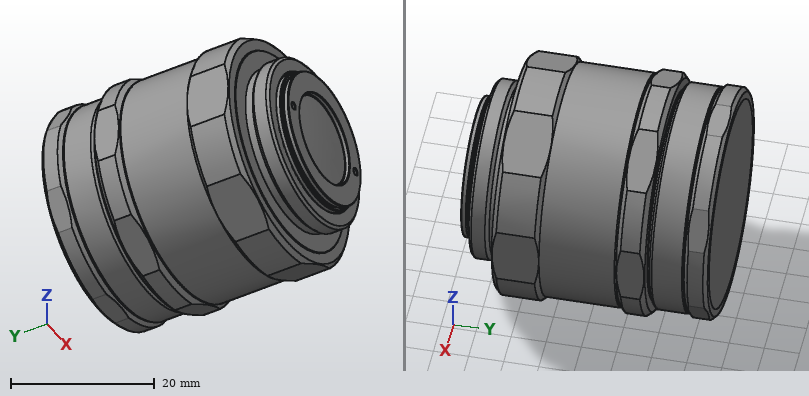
import cadquery as cq
import math


TIP_Y = 0.0
RETAINER_BACK_Y = 0.87
CELL_FLANGE_Y = 1.05
THREAD_FRONT_Y = 1.65
CELL_SEAT_Y = 2.9
THREAD_BACK_Y = 4.5
BARREL_FACE_Y = 5.65
FOCUS_FRONT_Y = 5.75
FOCUS_HEX_BACK_Y = 12.5
LOCK_NUT_FRONT_Y = 23.45
LOCK_NUT_BACK_Y = 27.55
BARREL_BACK_Y = 27.65
COLLAR_FRONT_Y = 28.05
COLLAR_BACK_Y = 32.9
REAR_NUT_FRONT_Y = 33.0
REAR_Y = 36.35

LENS_R = 6.6
WINDOW_R = 6.85
RETAINER_R = 10.0
CELL_R = 10.3
UNDERCUT_R = 12.18
THREAD_R = 12.7
REAR_TUBE_R = 14.83
BARREL_R = 14.95
COLLAR_R = 16.03
REAR_NUT_R = 16.43
FOCUS_R = 16.58
HEX_R = 17.2

HEX_ACROSS_FLATS = 33.2
HEX_FIRST_ANGLE = 0.0
REAR_NUT_ACROSS_FLATS = 32.28
REAR_NUT_FIRST_ANGLE = 30.0
FLAT_COUNT = 6

HEX_CHAMFER = 0.7
FOCUS_END_CHAMFER = 0.2
REAR_NUT_CHAMFER = 0.55
COLLAR_FRONT_CHAMFER = 0.35
COLLAR_BACK_CHAMFER = 0.18
THREAD_FRONT_CHAMFER = 0.4
THREAD_BACK_CHAMFER = THREAD_R - UNDERCUT_R
BARREL_FACE_CHAMFER = 0.1
CELL_SEAT_CHAMFER = 0.2
CELL_CHAMFER = 0.15
RETAINER_FRONT_CHAMFER = 0.127
RETAINER_BACK_CHAMFER = 0.18
WINDOW_CHAMFER = 0.1
SPANNER_HOLE_CHAMFER = 0.1

LENS_RIM_Y = 0.65
LENS_DOME_HEIGHT = 0.18
SPANNER_HOLE_X = 8.47
SPANNER_HOLE_R = 0.47


def turned(points):
    """Solid of revolution about Y from a closed (radius, y) outline."""
    return cq.Workplane("XY").polyline(points).close().revolve(360, (0, 0, 0), (0, 1, 0))


def ring(outer_r, bore_r, y_front, y_back, front_chamfer=0.0, back_chamfer=0.0):
    """Plain ring whose outer edges carry 45 degree chamfers where a size is given."""
    front_edge = [(outer_r, y_front)]
    if front_chamfer:
        front_edge = [(outer_r - front_chamfer, y_front), (outer_r, y_front + front_chamfer)]
    back_edge = [(outer_r, y_back)]
    if back_chamfer:
        back_edge = [(outer_r, y_back - back_chamfer), (outer_r - back_chamfer, y_back)]
    return turned([(bore_r, y_front), *front_edge, *back_edge, (bore_r, y_back)])


def hex_prism(across_flats, first_angle, y_front, y_back):
    """Hexagonal prism along Y whose first flat faces first_angle, measured from +X toward +Z."""
    corner_r = across_flats / 2 / math.cos(math.pi / FLAT_COUNT)
    corner_angles = [
        math.radians(first_angle + (i + 0.5) * 360 / FLAT_COUNT) for i in range(FLAT_COUNT)
    ]
    corners = [(corner_r * math.cos(a), corner_r * math.sin(a)) for a in corner_angles]
    return (
        cq.Workplane("XZ", origin=(0, y_front, 0))
        .polyline(corners)
        .close()
        .extrude(y_front - y_back)
    )


def make_barrel():
    """Core with the cell recess, front thread and undercut, shoulder, and seat for the two hex parts."""
    return turned([
        (0, CELL_SEAT_Y),
        (CELL_R, CELL_SEAT_Y),
        (CELL_R, THREAD_FRONT_Y + CELL_SEAT_CHAMFER),
        (CELL_R + CELL_SEAT_CHAMFER, THREAD_FRONT_Y),
        (THREAD_R - THREAD_FRONT_CHAMFER, THREAD_FRONT_Y),
        (THREAD_R, THREAD_FRONT_Y + THREAD_FRONT_CHAMFER),
        (THREAD_R, THREAD_BACK_Y - THREAD_BACK_CHAMFER),
        (UNDERCUT_R, THREAD_BACK_Y),
        (UNDERCUT_R, BARREL_FACE_Y),
        (BARREL_R - BARREL_FACE_CHAMFER, BARREL_FACE_Y),
        (BARREL_R, BARREL_FACE_Y + BARREL_FACE_CHAMFER),
        (BARREL_R, BARREL_BACK_Y),
        (0, BARREL_BACK_Y),
    ])


def make_rear_tube():
    """Core behind the barrel that carries the collar and the rear nut."""
    return ring(REAR_TUBE_R, 0, BARREL_BACK_Y, REAR_Y)


def make_focus_ring():
    """Long sleeve with a hexagonal grip at its front end."""
    grip = ring(HEX_R, BARREL_R, FOCUS_FRONT_Y, FOCUS_HEX_BACK_Y, HEX_CHAMFER, HEX_R - FOCUS_R)
    flats = hex_prism(HEX_ACROSS_FLATS, HEX_FIRST_ANGLE, FOCUS_FRONT_Y, FOCUS_HEX_BACK_Y)
    grip = grip.intersect(flats)
    sleeve = ring(FOCUS_R, BARREL_R, FOCUS_HEX_BACK_Y, LOCK_NUT_FRONT_Y, back_chamfer=FOCUS_END_CHAMFER)
    return grip.union(sleeve)


def make_lock_nut():
    """Hexagonal nut behind the focus ring."""
    blank = ring(HEX_R, BARREL_R, LOCK_NUT_FRONT_Y, LOCK_NUT_BACK_Y, HEX_CHAMFER, HEX_CHAMFER)
    flats = hex_prism(HEX_ACROSS_FLATS, HEX_FIRST_ANGLE, LOCK_NUT_FRONT_Y, LOCK_NUT_BACK_Y)
    return blank.intersect(flats)


def make_collar():
    """Round collar between the lock nut and the rear nut."""
    return ring(
        COLLAR_R, REAR_TUBE_R, COLLAR_FRONT_Y, COLLAR_BACK_Y, COLLAR_FRONT_CHAMFER, COLLAR_BACK_CHAMFER
    )


def make_rear_nut():
    """Thin nut with six shallow flats at the rear end."""
    blank = ring(
        REAR_NUT_R, REAR_TUBE_R, REAR_NUT_FRONT_Y, REAR_Y, REAR_NUT_CHAMFER, REAR_NUT_CHAMFER
    )
    flats = hex_prism(REAR_NUT_ACROSS_FLATS, REAR_NUT_FIRST_ANGLE, REAR_NUT_FRONT_Y, REAR_Y)
    return blank.intersect(flats)


def make_lens_cell():
    """Flanged seat around the lens, with a narrower neck behind the retainer."""
    flange = ring(CELL_R, LENS_R, CELL_FLANGE_Y, CELL_SEAT_Y, CELL_CHAMFER)
    neck_r = RETAINER_R - RETAINER_BACK_CHAMFER
    neck = ring(neck_r, LENS_R, RETAINER_BACK_Y, CELL_FLANGE_Y)
    return flange.union(neck)


def countersunk_opening(hole_r, mouth_chamfer, depth):
    """Cutting tool along Y for a round opening from the front tip with a 45 degree mouth."""
    return turned([
        (0, TIP_Y),
        (hole_r + mouth_chamfer, TIP_Y),
        (hole_r, TIP_Y + mouth_chamfer),
        (hole_r, TIP_Y + depth),
        (0, TIP_Y + depth),
    ])


def make_retainer():
    """Front ring with a window step around the lens and two spanner holes."""
    retainer = ring(
        RETAINER_R, LENS_R, TIP_Y, RETAINER_BACK_Y, RETAINER_FRONT_CHAMFER, RETAINER_BACK_CHAMFER
    )
    retainer = retainer.cut(countersunk_opening(WINDOW_R, WINDOW_CHAMFER, LENS_RIM_Y - TIP_Y))
    spanner_hole = countersunk_opening(SPANNER_HOLE_R, SPANNER_HOLE_CHAMFER, RETAINER_BACK_Y - TIP_Y)
    for x in (-SPANNER_HOLE_X, SPANNER_HOLE_X):
        retainer = retainer.cut(spanner_hole.translate((x, 0, 0)))
    return retainer


def make_lens():
    """Disc with a shallow spherical front."""
    apex_y = LENS_RIM_Y - LENS_DOME_HEIGHT
    sphere_r = (LENS_R**2 + LENS_DOME_HEIGHT**2) / (2 * LENS_DOME_HEIGHT)
    mid_r = LENS_R / 2
    mid_y = apex_y + sphere_r - math.sqrt(sphere_r**2 - mid_r**2)
    return (
        cq.Workplane("XY")
        .moveTo(0, apex_y)
        .threePointArc((mid_r, mid_y), (LENS_R, LENS_RIM_Y))
        .lineTo(LENS_R, CELL_SEAT_Y)
        .lineTo(0, CELL_SEAT_Y)
        .close()
        .revolve(360, (0, 0, 0), (0, 1, 0))
    )


barrel = make_barrel()
rear_tube = make_rear_tube()
focus_ring = make_focus_ring()
lock_nut = make_lock_nut()
collar = make_collar()
rear_nut = make_rear_nut()
lens_cell = make_lens_cell()
retainer = make_retainer()
lens = make_lens()

result = cq.Compound.makeCompound([
    barrel.val(),
    rear_tube.val(),
    focus_ring.val(),
    lock_nut.val(),
    collar.val(),
    rear_nut.val(),
    lens_cell.val(),
    retainer.val(),
    lens.val(),
])